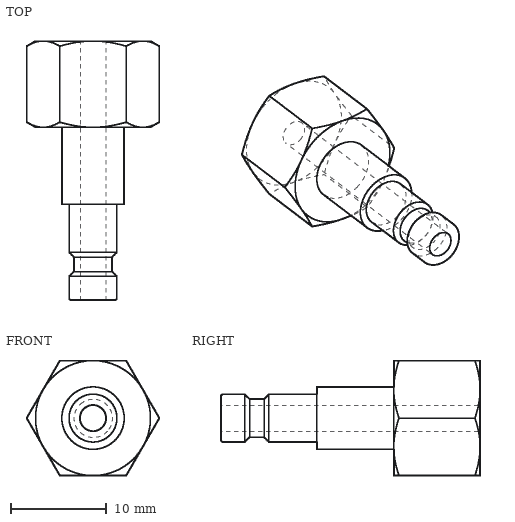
import cadquery as cq
import math

total_length = 27.0
hex_length = 9.0
shoulder_length = 8.02
hex_across_flats = 12.0
hex_chamfer_angle = 30.0

shoulder_diameter = 6.5
stem_diameter = 5.0
groove_diameter = 4.0
bore_diameter = 2.7

collar_length = 2.48
groove_width = 2.5
tip_fillet = 0.25

hex_start = total_length - hex_length
shoulder_start = hex_start - shoulder_length
groove_end = collar_length + groove_width
groove_depth = (stem_diameter - groove_diameter) / 2
flat_radius = hex_across_flats / 2
corner_radius = flat_radius / math.cos(math.radians(30))
hex_chamfer_length = (corner_radius - flat_radius) * math.tan(math.radians(hex_chamfer_angle))


def revolve_about_y(profile):
    """Revolve a closed (radius, y) profile about the Y axis."""
    return cq.Workplane("XY").polyline(profile).close().revolve(360, (0, 0, 0), (0, 1, 0))


def make_hexagon():
    """Hexagon with corners on X, chamfered at both ends."""
    prism = (
        cq.Workplane("XZ", origin=(0, hex_start, 0))
        .polygon(6, 2 * corner_radius)
        .extrude(-hex_length)
    )
    chamfer_envelope = revolve_about_y([
        (0, hex_start),
        (flat_radius, hex_start),
        (corner_radius, hex_start + hex_chamfer_length),
        (corner_radius, total_length - hex_chamfer_length),
        (flat_radius, total_length),
        (0, total_length),
    ])
    return prism.intersect(chamfer_envelope)


def make_spigot():
    """Shoulder and grooved stem with a rounded tip."""
    stem_radius = stem_diameter / 2
    groove_radius = groove_diameter / 2
    shoulder_radius = shoulder_diameter / 2
    spigot = revolve_about_y([
        (0, 0),
        (stem_radius, 0),
        (stem_radius, collar_length),
        (groove_radius, collar_length + groove_depth),
        (groove_radius, groove_end - groove_depth),
        (stem_radius, groove_end),
        (stem_radius, shoulder_start),
        (shoulder_radius, shoulder_start),
        (shoulder_radius, hex_start),
        (0, hex_start),
    ])
    return spigot.faces("<Y").edges().fillet(tip_fillet)


def make_bore():
    """Through bore along the full length."""
    return cq.Workplane("XZ").circle(bore_diameter / 2).extrude(-total_length)


result = make_hexagon().union(make_spigot()).cut(make_bore())